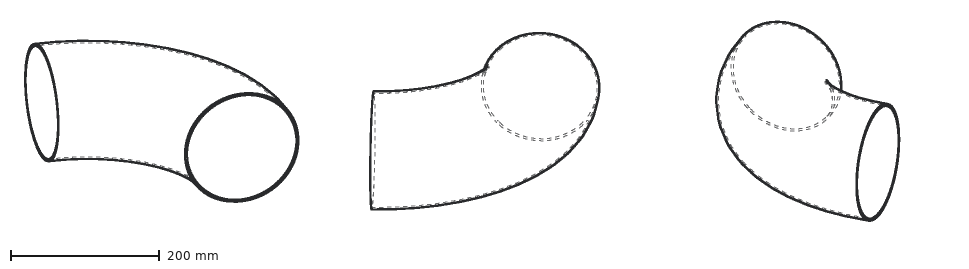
import cadquery as cq

overall_size = 295.5
outer_diameter = 159.0
wall_thickness = 3.0
bend_angle = 90.0

outer_radius = outer_diameter / 2
inner_radius = outer_radius - wall_thickness
bend_radius = overall_size - outer_radius


def pipe_elbow():
    """Sweep the pipe's ring section around the Z axis, from the -X side to the +Y side."""
    ring_section = (
        cq.Workplane("XZ")
        .center(-bend_radius, 0)
        .circle(outer_radius)
        .circle(inner_radius)
    )
    axis_start = (bend_radius, 0)
    axis_end = (bend_radius, -1)
    return ring_section.revolve(bend_angle, axis_start, axis_end)


result = pipe_elbow()